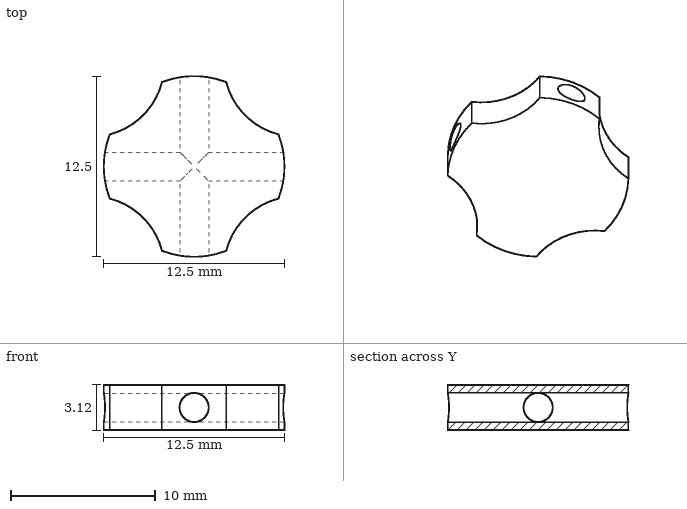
import cadquery as cq

disc_diameter = 12.5
thickness = 3.12
scallop_count = 4
scallop_radius = 5.0
scallop_center_distance = 10.0
first_scallop_angle = 45.0
hole_diameter = 2.0


def make_disc():
    """Plain round disc centred on the origin."""
    return cq.Workplane("XY").cylinder(thickness, disc_diameter / 2)


def make_scallops():
    """Vertical cylinders that cut the concave grips into the rim on the diagonals."""
    return (
        cq.Workplane("XY")
        .polarArray(scallop_center_distance, first_scallop_angle, 360, scallop_count)
        .circle(scallop_radius)
        .extrude(thickness, both=True)
    )


def make_cross_hole(plane):
    """Horizontal through hole at mid-thickness, along the normal of the given plane."""
    return cq.Workplane(plane).circle(hole_diameter / 2).extrude(disc_diameter, both=True)


result = make_disc().cut(make_scallops())
for hole_plane in ("XZ", "YZ"):
    result = result.cut(make_cross_hole(hole_plane))